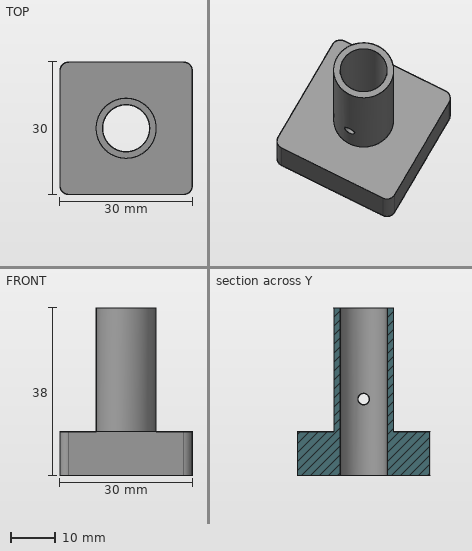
import cadquery as cq

base_side = 30.0
base_height = 10.0
corner_radius = 2.0

overall_height = 38.0
tube_diameter = 13.6
bore_diameter = 10.6

side_hole_diameter = 2.53
side_hole_height = 17.35
side_hole_reach = tube_diameter


def make_base():
    """Square plate with rounded vertical edges, bottom on Z = 0."""
    plate = cq.Workplane("XY").box(base_side, base_side, base_height, centered=(True, True, False))
    return plate.edges("|Z").fillet(corner_radius)


def make_tube_body():
    """Solid cylinder rising from the bottom of the base to the full height."""
    return cq.Workplane("XY").circle(tube_diameter / 2).extrude(overall_height)


def make_bore():
    """Bore running through both the tube and the base."""
    return cq.Workplane("XY").circle(bore_diameter / 2).extrude(overall_height)


def make_side_hole():
    """Cylinder from the tube axis out through the +Y wall."""
    axis_point = cq.Vector(0, 0, side_hole_height)
    outward = cq.Vector(0, 1, 0)
    return cq.Solid.makeCylinder(side_hole_diameter / 2, side_hole_reach, axis_point, outward)


result = make_base().union(make_tube_body()).cut(make_bore()).cut(cq.Workplane(make_side_hole()))